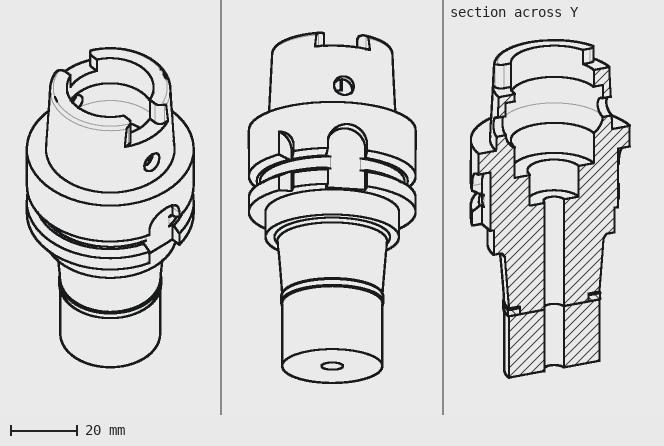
import cadquery as cq
import math

TOP_Z = 100.0
FLANGE_TOP_Z = 75.0
FLANGE_BOTTOM_Z = 49.0
COLLAR_BOTTOM_Z = 41.0
NECK_BOTTOM_Z = 22.6
RING_TOP_Z = 22.2
NOSE_TOP_Z = 20.0

TAPER_BASE_RADIUS = 38.5 / 2
TAPER_SLOPE = 1 / 20
RIM_FILLET = 1.0
MOUTH_RADIUS = 13.0
MOUTH_DEPTH = 10.2
CHAMBER_RADIUS = 16.0
CHAMBER_WALL_BOTTOM_Z = 80.0
CHAMBER_FILLET = 6.0
LOWER_BORE_FLOOR_Z = 65.0
THREAD_HOLE_RADIUS = 8.0
THREAD_HOLE_DEPTH = 10.0
BORE_RADIUS = 3.2

NOTCH_HALF_WIDTH = 10.5 / 2
NOTCH_CORNER_RADIUS = 2.0
RIM_FLAT_X = 16.2
SHALLOW_NOTCH_DEPTH = 4.6
DEEP_NOTCH_DEPTH = 7.7
CROSS_HOLE_RADIUS = 3.0
CROSS_HOLE_Z = 82.5

FLANGE_RADIUS = 25.0
GROOVE_Z = 57.0
GROOVE_RADIUS = 21.6
GROOVE_HALF_WIDTH = 1.9
GROOVE_MOUTH_HALF_WIDTH = 3.4
GROOVE_FLANK_RADIUS = 22.6

SLOT_RADIUS = 6.0
SLOT_ARC_Z = 62.1
SLOT_FLOOR_X = 21.1
POCKET_FLOOR_X = 15.9
POCKET_CENTER_Y = 21.5

COLLAR_RADIUS = 20.0
NECK_FLARE_RADIUS = 17.3
NECK_FLARE_HEIGHT = 1.2
NECK_TOP_RADIUS = 16.4
NOSE_RADIUS = 15.0
SPIGOT_RADIUS = 11.4

RING_RADIUS = 15.3
RING_CHAMFER = RING_RADIUS - NOSE_RADIUS


def cylinder(radius, bottom_z, top_z):
    return cq.Workplane("XY").workplane(offset=bottom_z).circle(radius).extrude(top_z - bottom_z)


def holder_body():
    """Turned outside shape of the holder, from the spigot up to the rim."""
    rim_radius = TAPER_BASE_RADIUS - TAPER_SLOPE * (TOP_Z - FLANGE_TOP_Z)
    outline = [
        (0, NOSE_TOP_Z),
        (SPIGOT_RADIUS, NOSE_TOP_Z),
        (SPIGOT_RADIUS, NECK_BOTTOM_Z),
        (NOSE_RADIUS, NECK_BOTTOM_Z),
        (NECK_TOP_RADIUS, COLLAR_BOTTOM_Z - NECK_FLARE_HEIGHT),
        (NECK_FLARE_RADIUS, COLLAR_BOTTOM_Z),
        (COLLAR_RADIUS, COLLAR_BOTTOM_Z),
        (COLLAR_RADIUS, FLANGE_BOTTOM_Z),
        (FLANGE_RADIUS, FLANGE_BOTTOM_Z),
        (FLANGE_RADIUS, GROOVE_Z - GROOVE_MOUTH_HALF_WIDTH),
        (GROOVE_FLANK_RADIUS, GROOVE_Z - GROOVE_HALF_WIDTH),
        (GROOVE_RADIUS, GROOVE_Z - GROOVE_HALF_WIDTH),
        (GROOVE_RADIUS, GROOVE_Z + GROOVE_HALF_WIDTH),
        (GROOVE_FLANK_RADIUS, GROOVE_Z + GROOVE_HALF_WIDTH),
        (FLANGE_RADIUS, GROOVE_Z + GROOVE_MOUTH_HALF_WIDTH),
        (FLANGE_RADIUS, FLANGE_TOP_Z),
        (TAPER_BASE_RADIUS, FLANGE_TOP_Z),
        (rim_radius, TOP_Z),
        (0, TOP_Z),
    ]
    body = cq.Workplane("XZ").polyline(outline).close().revolve(360, (0, 0), (0, 1))
    return body.faces(">Z").edges().fillet(RIM_FILLET)


def holder_cavity():
    """Turned inside of the holder: mouth, undercut chamber, threaded hole and bore."""
    thread_bottom_z = LOWER_BORE_FLOOR_Z - THREAD_HOLE_DEPTH
    arc_center_radius = CHAMBER_RADIUS - CHAMBER_FILLET
    arc_angle = math.acos((MOUTH_RADIUS - arc_center_radius) / CHAMBER_FILLET)
    arc_mid, arc_end = [
        (
            arc_center_radius + CHAMBER_FILLET * math.cos(angle),
            CHAMBER_WALL_BOTTOM_Z - CHAMBER_FILLET * math.sin(angle),
        )
        for angle in (arc_angle / 2, arc_angle)
    ]
    return (
        cq.Workplane("XZ")
        .moveTo(0, NOSE_TOP_Z)
        .lineTo(BORE_RADIUS, NOSE_TOP_Z)
        .lineTo(BORE_RADIUS, thread_bottom_z)
        .lineTo(THREAD_HOLE_RADIUS, thread_bottom_z)
        .lineTo(THREAD_HOLE_RADIUS, LOWER_BORE_FLOOR_Z)
        .lineTo(MOUTH_RADIUS, LOWER_BORE_FLOOR_Z)
        .lineTo(*arc_end)
        .threePointArc(arc_mid, (CHAMBER_RADIUS, CHAMBER_WALL_BOTTOM_Z))
        .lineTo(CHAMBER_RADIUS, TOP_Z - MOUTH_DEPTH)
        .lineTo(MOUTH_RADIUS, TOP_Z - MOUTH_DEPTH)
        .lineTo(MOUTH_RADIUS, TOP_Z)
        .lineTo(0, TOP_Z)
        .close()
        .revolve(360, (0, 0), (0, 1))
    )


def rim_notch(side, depth):
    """Notch on the +X (side = 1) or -X (side = -1) rim, flaring out over rounded corners."""
    half = NOTCH_HALF_WIDTH
    radius = NOTCH_CORNER_RADIUS
    flat_x = side * RIM_FLAT_X
    arc_sine = math.sin(math.pi / 4)
    arc_start_x = side * (RIM_FLAT_X - radius)
    arc_mid_x = arc_start_x + side * radius * arc_sine
    arc_mid_y = half + radius * (1 - arc_sine)
    outer_x = side * FLANGE_RADIUS
    return (
        cq.Workplane("XY").workplane(offset=TOP_Z - depth)
        .moveTo(0, -half)
        .lineTo(arc_start_x, -half)
        .threePointArc((arc_mid_x, -arc_mid_y), (flat_x, -half - radius))
        .lineTo(flat_x, -FLANGE_RADIUS)
        .lineTo(outer_x, -FLANGE_RADIUS)
        .lineTo(outer_x, FLANGE_RADIUS)
        .lineTo(flat_x, FLANGE_RADIUS)
        .lineTo(flat_x, half + radius)
        .threePointArc((arc_mid_x, arc_mid_y), (arc_start_x, half))
        .lineTo(0, half)
        .close()
        .extrude(depth)
    )


def flange_slot(side, floor_x, center_y):
    """Round-topped slot cut along X into the flange, open at the flange underside."""
    depth = FLANGE_RADIUS - floor_x
    return (
        cq.Workplane("YZ").workplane(offset=side * floor_x)
        .moveTo(center_y - SLOT_RADIUS, FLANGE_BOTTOM_Z)
        .lineTo(center_y - SLOT_RADIUS, SLOT_ARC_Z)
        .threePointArc((center_y, SLOT_ARC_Z + SLOT_RADIUS), (center_y + SLOT_RADIUS, SLOT_ARC_Z))
        .lineTo(center_y + SLOT_RADIUS, FLANGE_BOTTOM_Z)
        .close()
        .extrude(side * depth)
    )


def cross_hole():
    """Radial hole along X through both walls of the shank."""
    return (
        cq.Workplane("YZ").center(0, CROSS_HOLE_Z)
        .circle(CROSS_HOLE_RADIUS).extrude(FLANGE_RADIUS, both=True)
    )


def make_holder():
    holder = holder_body().cut(holder_cavity())
    holder = holder.cut(rim_notch(-1, SHALLOW_NOTCH_DEPTH))
    holder = holder.cut(rim_notch(1, DEEP_NOTCH_DEPTH))
    holder = holder.cut(cross_hole())
    for side in (-1, 1):
        holder = holder.cut(flange_slot(side, SLOT_FLOOR_X, 0))
    return holder.cut(flange_slot(-1, POCKET_FLOOR_X, POCKET_CENTER_Y))


def make_ring():
    """Spacer ring that fits around the spigot and rests on the nose."""
    ring = cylinder(RING_RADIUS, NOSE_TOP_Z, RING_TOP_Z).faces("<Z").edges().chamfer(RING_CHAMFER)
    return ring.cut(cylinder(SPIGOT_RADIUS, NOSE_TOP_Z, RING_TOP_Z))


def make_nose():
    """Cylindrical nose below the ring, with the bore running on through it."""
    return cylinder(NOSE_RADIUS, 0, NOSE_TOP_Z).cut(cylinder(BORE_RADIUS, 0, NOSE_TOP_Z))


holder = make_holder()
ring = make_ring()
nose = make_nose()

result = cq.Compound.makeCompound([holder.val(), ring.val(), nose.val()])